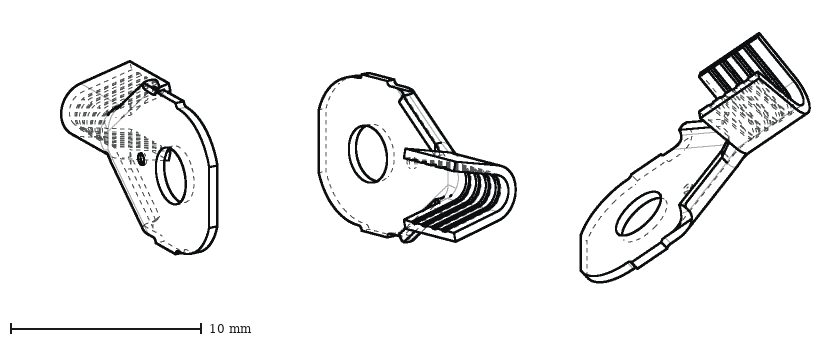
import math

import cadquery as cq

length = 15.06
depth = 4.32
sheet = 0.51

barrel_length = 3.98
barrel_radius = 1.52
bore_radius = barrel_radius - sheet
splay = math.radians(12.6)

groove_count = 4
groove_start = 0.7
groove_pitch = 0.78
groove_floor = 0.18
groove_ramp = 0.14
groove_depth = 0.08

neck_end = 4.79
neck_start_floor = 0.81
neck_end_floor = 0.51
neck_height = 1.82

flare = math.radians(40)
wall_height = 1.42
bend_radius = 1.01
corner_radius = 0.18
mid_end_slope = 0.4

half_width = 3.98
tip_radius = 3.31
tip_arc_x = 11.91
stud_x = 11.16
stud_diameter = 3.03
pip_x = 8.15
pip_diameter = 0.62
pip_depth = 0.15

tab_half_width = 4.22
tab_start = 9.62
tab_end = 11.65
flank_radius = tab_half_width - half_width

fold_end_x = neck_end + (half_width - neck_end_floor) / math.tan(flare)


def barrel_arc(radius, angle):
    """(Y, Z) point on a barrel bend, with the angle measured from the flat face towards +Z."""
    return (barrel_radius - radius * math.cos(angle), radius * math.sin(angle))


def leg_start(radius):
    """(Y, Z) point where a straight leg leaves its bend."""
    return barrel_arc(radius, math.pi / 2 - splay)


def leg_point(radius, y):
    """(Y, Z) point at height y on a straight leg."""
    start_y, start_z = leg_start(radius)
    return (y, start_z + (y - start_y) * math.tan(splay))


def mirrored(point):
    """The (Y, Z) point on the other side of the symmetry plane."""
    return (point[0], -point[1])


def barrel():
    outer_tip = leg_point(barrel_radius, depth - sheet * math.sin(splay))
    inner_tip = leg_point(bore_radius, depth)
    body = (
        cq.Workplane("YZ")
        .moveTo(*outer_tip)
        .lineTo(*leg_start(barrel_radius))
        .threePointArc(barrel_arc(barrel_radius, 0), mirrored(leg_start(barrel_radius)))
        .lineTo(*mirrored(outer_tip))
        .lineTo(*mirrored(inner_tip))
        .lineTo(*mirrored(leg_start(bore_radius)))
        .threePointArc(barrel_arc(bore_radius, 0), leg_start(bore_radius))
        .lineTo(*inner_tip)
        .close()
        .extrude(barrel_length)
    )
    groove = groove_cutter()
    for index in range(groove_count):
        body = body.cut(groove.translate((groove_start + index * groove_pitch, 0, 0)))
    return body


def bore_wire(x, radius):
    """Closed outline of the bore at x, reaching past the leg tips."""
    tip = leg_point(radius, depth + sheet)
    return (
        cq.Workplane("YZ", origin=(x, 0, 0))
        .moveTo(*tip)
        .lineTo(*leg_start(radius))
        .threePointArc(barrel_arc(radius, 0), mirrored(leg_start(radius)))
        .lineTo(*mirrored(tip))
        .close()
        .val()
    )


def groove_cutter():
    """One serration that follows the bore, with its square step at X = 0."""
    floor_radius = bore_radius + groove_depth
    floor = cq.Solid.makeLoft([bore_wire(0, floor_radius), bore_wire(groove_floor, floor_radius)], True)
    ramp_end = bore_wire(groove_floor + groove_ramp, bore_radius)
    ramp = cq.Solid.makeLoft([bore_wire(groove_floor, floor_radius), ramp_end], True)
    return cq.Workplane(floor).union(cq.Workplane(ramp))


def neck_start_wire():
    """Barrel section trimmed to the neck height, its bend split where the neck floor begins."""
    floor_angle = math.asin(neck_start_floor / barrel_radius)
    bend_end = math.pi / 2 - splay
    mid_angle = (floor_angle + bend_end) / 2
    outer_top = leg_point(barrel_radius, neck_height)
    inner_top = leg_point(bore_radius, neck_height)

    def arc(radius, middle, end):
        return barrel_arc(radius, middle), barrel_arc(radius, end)

    return (
        cq.Workplane("YZ", origin=(barrel_length, 0, 0))
        .moveTo(*outer_top)
        .lineTo(*leg_start(barrel_radius))
        .threePointArc(*arc(barrel_radius, mid_angle, floor_angle))
        .threePointArc(*arc(barrel_radius, 0, -floor_angle))
        .threePointArc(*arc(barrel_radius, -mid_angle, -bend_end))
        .lineTo(*mirrored(outer_top))
        .lineTo(*mirrored(inner_top))
        .lineTo(*mirrored(leg_start(bore_radius)))
        .threePointArc(*arc(bore_radius, -mid_angle, -floor_angle))
        .threePointArc(*arc(bore_radius, 0, floor_angle))
        .threePointArc(*arc(bore_radius, mid_angle, bend_end))
        .lineTo(*inner_top)
        .close()
        .val()
    )


def neck_end_wire():
    """Section across the flaring walls, where their round bends are cut as quarter ellipses."""
    inner_radius = bend_radius - sheet
    stretch = 1 / math.cos(flare)
    outer_z = neck_end_floor + bend_radius * stretch
    inner_z = neck_end_floor + inner_radius * stretch

    def line(start, end):
        return cq.Edge.makeLine(cq.Vector(neck_end, *start), cq.Vector(neck_end, *end))

    def bend(radius, side):
        centre = cq.Vector(neck_end, bend_radius, side * neck_end_floor)
        axis = cq.Vector(side, 0, 0)
        outward = cq.Vector(0, 0, side)
        return cq.Edge.makeEllipse(radius * stretch, radius, centre, axis, outward, 0, 90)

    edges = [
        line((wall_height, outer_z), (bend_radius, outer_z)),
        bend(bend_radius, 1),
        line((0, neck_end_floor), (0, -neck_end_floor)),
        bend(bend_radius, -1),
        line((bend_radius, -outer_z), (wall_height, -outer_z)),
        line((wall_height, -outer_z), (wall_height, -inner_z)),
        line((wall_height, -inner_z), (bend_radius, -inner_z)),
        bend(inner_radius, -1),
        line((sheet, -neck_end_floor), (sheet, neck_end_floor)),
        bend(inner_radius, 1),
        line((bend_radius, inner_z), (wall_height, inner_z)),
        line((wall_height, inner_z), (wall_height, outer_z)),
    ]
    return cq.Wire.assembleEdges(edges)


def neck():
    return cq.Workplane(cq.Solid.makeLoft([neck_start_wire(), neck_end_wire()], True))


def wall_end_cutter():
    """Twisted wedge that turns the end of the +Z wall from flush with the long edge, where the
    sheet is flat, to square with the wall at its top."""
    flush = 0
    square = 1 / math.tan(flare)
    stations = [
        (sheet, flush),
        (bend_radius, mid_end_slope),
        (wall_height, square),
    ]
    wires = []
    for y, slope in stations:
        below_bend_top = max(bend_radius - y, 0)
        reach = math.sqrt(bend_radius**2 - below_bend_top**2)
        edge_x = fold_end_x - reach / math.sin(flare)
        drop = slope * (fold_end_x - edge_x)
        wires.append(
            cq.Workplane("XZ", origin=(0, y, 0))
            .moveTo(edge_x, half_width)
            .lineTo(fold_end_x, half_width - drop)
            .lineTo(fold_end_x, tab_half_width)
            .lineTo(edge_x, tab_half_width)
            .close()
            .val()
        )
    return cq.Workplane(cq.Solid.makeLoft(wires, True))


def side_wall():
    """Bent-up wall on the +Z side, flaring from the neck and trimmed by the long edge."""
    inner_radius = bend_radius - sheet
    across_flare = (-math.sin(flare), 0, math.cos(flare))
    against_flare = (-math.cos(flare), 0, -math.sin(flare))
    section = cq.Plane(origin=(neck_end, 0, neck_end_floor), xDir=across_flare, normal=against_flare)
    wall_length = half_width / math.sin(flare)
    wall = (
        cq.Workplane(section)
        .radiusArc((bend_radius, bend_radius), -bend_radius)
        .lineTo(bend_radius, wall_height)
        .lineTo(inner_radius, wall_height)
        .lineTo(inner_radius, bend_radius)
        .radiusArc((0, sheet), inner_radius)
        .close()
        .extrude(wall_length, both=True)
    )
    trim = (
        cq.Workplane("XY")
        .box(length, wall_height, half_width, centered=False)
        .translate((neck_end, 0, 0))
        .edges("|X and >Y and >Z")
        .fillet(corner_radius)
    )
    return wall.intersect(trim).cut(wall_end_cutter())


def tongue_half():
    """+Z half of the flat tongue, from the fold line of the side wall to the tip."""
    tip_arc_z = half_width - tip_radius
    tip_corner_z = tip_arc_z + math.sqrt(tip_radius**2 - (length - tip_arc_x) ** 2)
    return (
        cq.Workplane("XZ")
        .moveTo(neck_end, 0)
        .lineTo(neck_end, neck_end_floor)
        .lineTo(fold_end_x, half_width)
        .lineTo(tab_start - flank_radius, half_width)
        .radiusArc((tab_start, tab_half_width), -flank_radius)
        .lineTo(tab_end, tab_half_width)
        .radiusArc((tab_end + flank_radius, half_width), -flank_radius)
        .lineTo(tip_arc_x, half_width)
        .radiusArc((length, tip_corner_z), tip_radius)
        .lineTo(length, 0)
        .close()
        .extrude(-sheet)
    )


def round_cutter(x, diameter, cut_depth):
    return cq.Workplane("XZ", origin=(x, 0, 0)).circle(diameter / 2).extrude(-cut_depth)


half = tongue_half().union(side_wall())
tongue = half.union(half.mirror("XY"))
result = barrel().union(neck()).union(tongue)
result = result.cut(round_cutter(stud_x, stud_diameter, sheet))
result = result.cut(round_cutter(pip_x, pip_diameter, pip_depth))